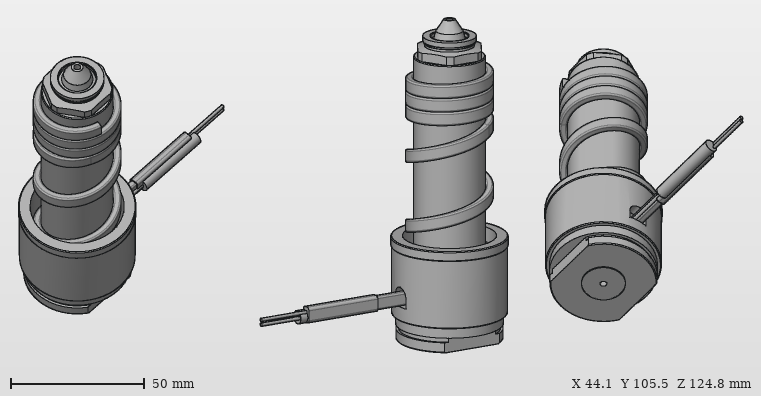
import cadquery as cq
import math

TOTAL_HEIGHT = 124.8
FLOW_BORE_RADIUS = 1.2

FOOT_RADIUS = 8.2
FOOT_HEIGHT = 0.5
BASE_RADIUS = 20.1
BASE_TOP = 4.5
BASE_NECK_RADIUS = 19.1
FLANGE_BOTTOM = 6.4
FLANGE_RADIUS = 20.2
BASE_FLAT_SPACING = 32.2

HOUSING_BOTTOM = 10.4
HOUSING_RADIUS = 21.7
COLLAR_BOTTOM = 37.1
COLLAR_RADIUS = 22.03
HOUSING_TOP = 40.5
RECESS_RADIUS = 17.6
RECESS_FLOOR = 16.0
SMALL_CHAMFER = 0.4

BARREL_RADIUS = 13.5
BARREL_TOP = 110.6
HEX_ACROSS_FLATS = 23.8
HEX_CORNER_RADIUS = 13.04
HEX_TOP = 114.7
HEX_TOP_DROP = 0.9

GROOVE_RADIUS = 9.42
GROOVE_TOP = 115.7
STEP_RADIUS = 9.67
RING_BOTTOM = 116.5
RING_RADIUS = 10.05
RING_TOP = 118.4
TIP_RADIUS = 2.18
CONE_BASE_RADIUS = 5.1
CONE_BASE = 120.3
SKIRT_RADIUS = 5.9
SKIRT_BASE = 117.5
DISH_RADIUS = 7.05
DISH_FLOOR = 116.8
DISH_CHAMFER = 0.31

COIL_GAP = 0.1
COIL_INNER_RADIUS = BARREL_RADIUS + COIL_GAP
STRIP_THICKNESS = 2.9
STRIP_HEIGHT = 5.1
STRIP_FILLET = 0.6

LEAD_X = -1.44
LEAD_Z = 19.7
LEAD_INNER_END = COIL_INNER_RADIUS
COIL_START_ANGLE = 93.0
LOOSE_END_ANGLE = 213.0 + 2 * 360.0
MIDDLE_END_ANGLE = 330.0 + 2 * 360.0
CLOSE_END_ANGLE = 345.0 + 5 * 360.0
LOOSE_PITCH = 27.2
MIDDLE_PITCH = 14.5
CLOSE_PITCH = 5.3
JOIN_TOLERANCE = 0.001

SLEEVE_START = 33.5
SLEEVE_END = 63.6
SLEEVE_WALL = 0.5
WIRE_RADIUS = 0.69
WIRE_END = 83.43
WIRE_SPACING = 1.9

THERMOCOUPLE_Z = 18.78
THERMOCOUPLE_RADIUS = 0.94
TUBE_RADIUS = 2.56
TUBE_START = 36.3
TUBE_END = 66.6

SLOT_WIDTH = 7.5
SLOT_TOP = 23.6


def revolve_about_z(points):
    """Turn a closed (radius, height) outline into a round solid about Z."""
    return cq.Workplane("XZ").polyline(points).close().revolve(360, (0, 0), (0, 1))


def rod_along_y(x, z, radius, start, end):
    """Round rod running in +Y between two Y positions."""
    return cq.Workplane("XZ", origin=(x, start, z)).circle(radius).extrude(start - end)


def rounded_bar_along_y(width, height, fillet, start, end):
    """Bar on the lead's centreline with its four long edges rounded."""
    bar = cq.Workplane("XZ", origin=(LEAD_X, start, LEAD_Z)).rect(width, height).extrude(start - end)
    return bar.edges("|Y").fillet(fillet)


def make_base():
    """Footed base and flange with two wrench flats facing +X and -X."""
    base = revolve_about_z([
        (0, 0),
        (FOOT_RADIUS, 0),
        (FOOT_RADIUS, FOOT_HEIGHT),
        (BASE_RADIUS - SMALL_CHAMFER, FOOT_HEIGHT),
        (BASE_RADIUS, FOOT_HEIGHT + SMALL_CHAMFER),
        (BASE_RADIUS, BASE_TOP),
        (BASE_NECK_RADIUS, BASE_TOP),
        (BASE_NECK_RADIUS, FLANGE_BOTTOM),
        (0, FLANGE_BOTTOM),
    ])
    flats = cq.Workplane("XY").rect(BASE_FLAT_SPACING, 2 * BASE_RADIUS).extrude(FLANGE_BOTTOM)
    return base.intersect(flats)


def make_housing_and_barrel():
    """Flange, cup with its ring-shaped recess, and the barrel standing in it."""
    return revolve_about_z([
        (0, FLANGE_BOTTOM),
        (FLANGE_RADIUS, FLANGE_BOTTOM),
        (FLANGE_RADIUS, HOUSING_BOTTOM),
        (HOUSING_RADIUS - SMALL_CHAMFER, HOUSING_BOTTOM),
        (HOUSING_RADIUS, HOUSING_BOTTOM + SMALL_CHAMFER),
        (HOUSING_RADIUS, COLLAR_BOTTOM - SMALL_CHAMFER),
        (COLLAR_RADIUS, COLLAR_BOTTOM),
        (COLLAR_RADIUS, HOUSING_TOP - SMALL_CHAMFER),
        (COLLAR_RADIUS - SMALL_CHAMFER, HOUSING_TOP),
        (RECESS_RADIUS, HOUSING_TOP),
        (RECESS_RADIUS, RECESS_FLOOR),
        (BARREL_RADIUS, RECESS_FLOOR),
        (BARREL_RADIUS, BARREL_TOP - SMALL_CHAMFER),
        (BARREL_RADIUS - SMALL_CHAMFER, BARREL_TOP),
        (0, BARREL_TOP),
    ])


def make_hexagon():
    """Wrench hexagon with turned corners and a shallow conical top."""
    blank = revolve_about_z([
        (0, BARREL_TOP),
        (HEX_CORNER_RADIUS, BARREL_TOP),
        (HEX_CORNER_RADIUS, HEX_TOP - HEX_TOP_DROP),
        (GROOVE_RADIUS, HEX_TOP),
        (0, HEX_TOP),
    ])
    across_corners = HEX_ACROSS_FLATS / math.cos(math.pi / 6)
    prism = (
        cq.Workplane("XY", origin=(0, 0, BARREL_TOP))
        .polygon(6, across_corners)
        .extrude(HEX_TOP - BARREL_TOP)
        .rotate((0, 0, 0), (0, 0, 1), 30)
    )
    return blank.intersect(prism)


def make_tip():
    """Sealing ring with a dish in its top, and the cone rising out of the dish."""
    return revolve_about_z([
        (0, HEX_TOP),
        (GROOVE_RADIUS, HEX_TOP),
        (GROOVE_RADIUS, GROOVE_TOP),
        (STEP_RADIUS, GROOVE_TOP),
        (STEP_RADIUS, RING_BOTTOM),
        (RING_RADIUS, RING_BOTTOM),
        (RING_RADIUS, RING_TOP),
        (DISH_RADIUS + DISH_CHAMFER, RING_TOP),
        (DISH_RADIUS, RING_TOP - DISH_CHAMFER),
        (DISH_RADIUS, DISH_FLOOR),
        (SKIRT_RADIUS, SKIRT_BASE),
        (CONE_BASE_RADIUS, CONE_BASE),
        (TIP_RADIUS, TOTAL_HEIGHT),
        (0, TOTAL_HEIGHT),
    ])


def make_lead_slot():
    """Round-topped slot through the +Y wall of the housing, rising from the recess floor."""
    middle_radius = (BARREL_RADIUS + RECESS_RADIUS) / 2
    arch_z = SLOT_TOP - SLOT_WIDTH / 2
    return (
        cq.Workplane("XZ", origin=(0, middle_radius, 0))
        .moveTo(-SLOT_WIDTH / 2, RECESS_FLOOR)
        .lineTo(SLOT_WIDTH / 2, RECESS_FLOOR)
        .lineTo(SLOT_WIDTH / 2, arch_z)
        .threePointArc((0, SLOT_TOP), (-SLOT_WIDTH / 2, arch_z))
        .close()
        .extrude(middle_radius - COLLAR_RADIUS)
    )


def make_nozzle():
    flow_bore = cq.Workplane("XY").circle(FLOW_BORE_RADIUS).extrude(TOTAL_HEIGHT)
    return (
        make_base()
        .union(make_housing_and_barrel())
        .union(make_hexagon())
        .union(make_tip())
        .cut(make_lead_slot())
        .cut(flow_bore)
    )


def make_coil_section(start_angle, end_angle, start_z, pitch):
    """Strip wound counterclockwise and upward at one pitch, between two angles in degrees."""
    middle_radius = COIL_INNER_RADIUS + STRIP_THICKNESS / 2
    rise = pitch * (end_angle - start_angle) / 360
    path = cq.Workplane(cq.Wire.makeHelix(pitch, rise, middle_radius))
    sketch = cq.Sketch().rect(STRIP_THICKNESS, STRIP_HEIGHT).vertices().fillet(STRIP_FILLET)
    section = cq.Workplane("XZ").center(middle_radius, 0).placeSketch(sketch).sweep(path, isFrenet=True)
    return section.rotate((0, 0, 0), (0, 0, 1), start_angle).translate((0, 0, start_z))


def make_coil():
    """Loose, middle and close-wound sections, joined end to end from the lead upward."""
    windings = [
        (LOOSE_END_ANGLE, LOOSE_PITCH),
        (MIDDLE_END_ANGLE, MIDDLE_PITCH),
        (CLOSE_END_ANGLE, CLOSE_PITCH),
    ]
    coil = cq.Workplane("XY")
    start_angle = COIL_START_ANGLE
    start_z = LEAD_Z
    for end_angle, pitch in windings:
        section = make_coil_section(start_angle, end_angle, start_z, pitch)
        coil = coil.union(section, tol=JOIN_TOLERANCE)
        start_z += pitch * (end_angle - start_angle) / 360
        start_angle = end_angle
    return coil


def make_cable():
    """Lead, sleeve and wire pair, with the thermocouple and its tube alongside."""
    lead = rounded_bar_along_y(STRIP_THICKNESS, STRIP_HEIGHT, STRIP_FILLET, LEAD_INNER_END, SLEEVE_END)
    sleeve = rounded_bar_along_y(
        STRIP_THICKNESS + 2 * SLEEVE_WALL,
        STRIP_HEIGHT + 2 * SLEEVE_WALL,
        STRIP_FILLET + SLEEVE_WALL,
        SLEEVE_START,
        SLEEVE_END,
    )
    thermocouple = rod_along_y(0, THERMOCOUPLE_Z, THERMOCOUPLE_RADIUS, LEAD_INNER_END, TUBE_END)
    tube = rod_along_y(0, THERMOCOUPLE_Z, TUBE_RADIUS, TUBE_START, TUBE_END)
    cable = lead.union(sleeve).union(thermocouple).union(tube)
    for side in (-1, 1):
        wire_z = LEAD_Z + side * WIRE_SPACING / 2
        cable = cable.union(rod_along_y(LEAD_X, wire_z, WIRE_RADIUS, SLEEVE_START, WIRE_END))
    return cable


def make_heater():
    return make_coil().union(make_cable())


nozzle = make_nozzle().solids()
heater = make_heater().solids()
result = cq.Compound.makeCompound([nozzle.val(), heater.val()])